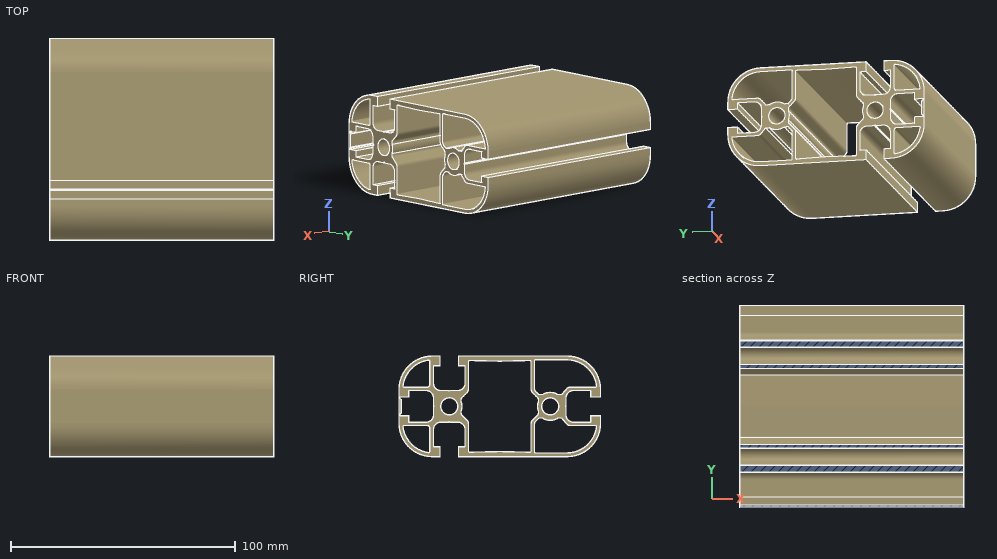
import cadquery as cq
import math

LENGTH = 100.0
WIDTH = 90.0
HEIGHT = 45.0
CORNER_RADIUS = 15.0
PLATE = 1.8
HUB_Y = (WIDTH - HEIGHT) / 2
HALF_WIDTH = WIDTH / 2
HALF_HEIGHT = HEIGHT / 2

SLOT_MOUTH = 8.2
SLOT_HALF_WIDTH = 7.0
SLOT_FLOOR = 7.1
SLOT_FLOOR_RADIUS = 3.2
LIP_DEPTH = 4.5
FLOOR_NOTCH = 0.3
WEB = 1.6
WEB_FACE = SLOT_HALF_WIDTH + WEB

MEMBRANE = 1.1
MEMBRANE_EDGE = 0.6
MEMBRANE_HALF_WIDTH = 3.0

BORE_DIAMETER = 7.5
HUB_OUTER_RADIUS = 6.3
HUB_INNER_RADIUS = 5.7
HUB_FLAT = 5.3
DIAGONAL_FOOT = 5.1
SLOT_SIDE_SHOULDER = 8.0

SIDE_PLATE = 2.1
CROWN_PLATE = 2.4
INNER_SLANT = 1.8
SHOULDER_RADIUS = 2.5
FOOT_RADIUS = 1.5

CHAMBER_RADIUS = 0.4
BEND_RADIUS = 2.0
SMALL_CHAMBER_WALL = 1.8
SLOT_CHAMBER_RADIUS = 1.0


def prism(section):
    """Extrude a closed YZ section over the full length."""
    return section.close().extrude(LENGTH)


def section_plane():
    return cq.Workplane("YZ", origin=(-LENGTH / 2, 0, 0))


def round_corners(body, corners, radius):
    """Fillet the lengthwise edges that pass through the given (y, z) corners."""
    for y, z in corners:
        edge = cq.selectors.NearestToPointSelector((0, y, z))
        body = body.edges("|X").edges(edge).fillet(radius)
    return body


def outer_body():
    body = section_plane().rect(WIDTH, HEIGHT).extrude(LENGTH)
    return body.edges("|X").fillet(CORNER_RADIUS)


def slot(hub_y, angle, closed=False):
    """T-slot opening from a hub in the direction at the given angle from +Y."""
    mouth = SLOT_MOUTH / 2
    lip = HALF_HEIGHT - LIP_DEPTH
    if closed:
        thin = HALF_HEIGHT - MEMBRANE_EDGE
        thick = HALF_HEIGHT - MEMBRANE
        shoulder = MEMBRANE_HALF_WIDTH + MEMBRANE - MEMBRANE_EDGE
        end = [(thin, mouth), (thin, shoulder), (thick, MEMBRANE_HALF_WIDTH)]
    else:
        end = [(HALF_HEIGHT, mouth)]
    half = [
        (SLOT_FLOOR, FLOOR_NOTCH),
        (SLOT_FLOOR, SLOT_HALF_WIDTH),
        (lip, SLOT_HALF_WIDTH),
        (lip, mouth),
    ] + end
    mirrored = [(out, -side) for out, side in reversed(half)]
    notch_tip = (SLOT_FLOOR - FLOOR_NOTCH, 0)
    cutter = prism(section_plane().polyline([notch_tip] + half + mirrored))
    floor_corners = [(SLOT_FLOOR, side * SLOT_HALF_WIDTH) for side in (-1, 1)]
    cutter = round_corners(cutter, floor_corners, SLOT_FLOOR_RADIUS)
    return cutter.rotate((0, 0, 0), (1, 0, 0), angle).translate((0, hub_y, 0))


ARC_RADIUS = CORNER_RADIUS - PLATE
ARC_Y = HALF_WIDTH - CORNER_RADIUS
ARC_Z = HALF_HEIGHT - CORNER_RADIUS
ARC_MID = (ARC_Y + ARC_RADIUS * math.sqrt(0.5), ARC_Z + ARC_RADIUS * math.sqrt(0.5))
ARC_FOOT = (ARC_Y + math.sqrt(ARC_RADIUS**2 - (WEB_FACE - ARC_Z) ** 2), WEB_FACE)


def large_end_chamber():
    """Upper chamber at the +Y end, running over the hub to the web."""
    ceiling = HALF_HEIGHT - PLATE
    bulge = math.sqrt(HUB_OUTER_RADIUS**2 - HUB_FLAT**2)
    web_y = HUB_Y - SLOT_HALF_WIDTH
    web_foot = HUB_FLAT + SLOT_HALF_WIDTH - DIAGONAL_FOOT
    chamber = prism(
        section_plane()
        .moveTo(ARC_Y, ceiling)
        .threePointArc(ARC_MID, ARC_FOOT)
        .lineTo(HUB_Y + SLOT_SIDE_SHOULDER, WEB_FACE)
        .lineTo(HUB_Y + DIAGONAL_FOOT, HUB_FLAT)
        .lineTo(HUB_Y + bulge, HUB_FLAT)
        .threePointArc((HUB_Y, HUB_OUTER_RADIUS), (HUB_Y - bulge, HUB_FLAT))
        .lineTo(HUB_Y - DIAGONAL_FOOT, HUB_FLAT)
        .lineTo(web_y, web_foot)
        .lineTo(web_y, ceiling)
    )
    bends = [(HUB_Y + SLOT_SIDE_SHOULDER, WEB_FACE), (web_y, web_foot)]
    chamber = round_corners(chamber, bends, BEND_RADIUS)
    return round_corners(chamber, [ARC_FOOT, (web_y, ceiling)], CHAMBER_RADIUS)


def small_end_chamber():
    """Upper chamber at the -Y end, enclosed by the skin and two slot walls."""
    wall_y = HUB_Y + SLOT_HALF_WIDTH + SMALL_CHAMBER_WALL
    arc_top = (wall_y, ARC_Z + math.sqrt(ARC_RADIUS**2 - (wall_y - ARC_Y) ** 2))
    inner_corner = (wall_y, WEB_FACE)
    chamber = prism(
        section_plane()
        .moveTo(*arc_top)
        .threePointArc(ARC_MID, ARC_FOOT)
        .lineTo(*inner_corner)
    )
    chamber = round_corners(chamber, [arc_top, ARC_FOOT], CHAMBER_RADIUS)
    chamber = round_corners(chamber, [inner_corner], SLOT_CHAMBER_RADIUS)
    return chamber.mirror("XZ")


def middle_chamber():
    """Chamber between the hubs, symmetric about both axes."""
    web_y = HUB_Y - WEB_FACE
    flat_y = HUB_Y - HUB_FLAT
    side_z = HALF_HEIGHT - SIDE_PLATE
    crown_z = HALF_HEIGHT - CROWN_PLATE
    shoulder_z = WEB_FACE - INNER_SLANT
    foot_z = HUB_FLAT - INNER_SLANT
    outline = [(0, 0), (flat_y, 0), (flat_y, foot_z), (web_y, shoulder_z), (web_y, side_z), (0, crown_z)]
    quarter = prism(section_plane().polyline(outline))
    quarter = round_corners(quarter, [(web_y, shoulder_z)], SHOULDER_RADIUS)
    quarter = round_corners(quarter, [(flat_y, foot_z)], FOOT_RADIUS)
    quarter = round_corners(quarter, [(web_y, side_z)], CHAMBER_RADIUS)
    half = quarter.union(quarter.mirror("XY"))
    chamber = half.union(half.mirror("XZ"))
    for y in (-HUB_Y, HUB_Y):
        chamber = chamber.cut(section_plane().center(y, 0).circle(HUB_INNER_RADIUS).extrude(LENGTH))
    return chamber


def bores():
    centres = [(-HUB_Y, 0), (HUB_Y, 0)]
    return section_plane().pushPoints(centres).circle(BORE_DIAMETER / 2).extrude(LENGTH)


result = outer_body().cut(middle_chamber()).cut(bores())

for upper_chamber in (large_end_chamber(), small_end_chamber()):
    result = result.cut(upper_chamber).cut(upper_chamber.mirror("XY"))

result = result.cut(slot(HUB_Y, 0))
for slot_angle in (90, -90):
    result = result.cut(slot(-HUB_Y, slot_angle))
result = result.cut(slot(-HUB_Y, 180, closed=True))